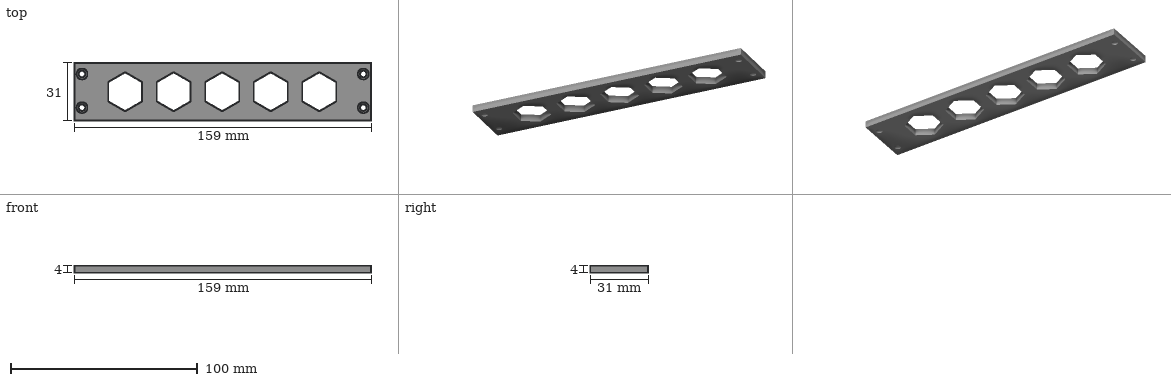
import cadquery as cq
import math

length = 159.0
width = 31.0
thickness = 4.0

hexagon_count = 5
hexagon_pitch = 26.0
hexagon_across_flats = 18.0
hexagon_across_corners = hexagon_across_flats / math.cos(math.radians(30))
hexagon_corner_angle = 90.0
hexagon_row_offset_x = -0.25

screw_spacing_x = 150.7
screw_spacing_y = 18.0
screw_offset_y = 0.5
screw_diameter = 3.4
countersink_diameter = 5.9
countersink_angle = 90.0


def make_plate():
    return cq.Workplane("XY").box(length, width, thickness, centered=(True, True, False))


def cut_hexagons(plate):
    """Cut the row of hexagonal windows through the plate."""
    row_start_x = hexagon_row_offset_x - hexagon_pitch * (hexagon_count - 1) / 2
    hexagon = (
        cq.Workplane("XY")
        .polygon(6, hexagon_across_corners)
        .extrude(thickness)
        .rotate((0, 0, 0), (0, 0, 1), hexagon_corner_angle)
    )
    for index in range(hexagon_count):
        plate = plate.cut(hexagon.translate((row_start_x + index * hexagon_pitch, 0, 0)))
    return plate


def cut_screw_holes(plate):
    """Drill the four screw holes, countersunk from the top face."""
    return (
        plate.faces(">Z")
        .workplane(origin=(0, screw_offset_y, thickness))
        .rect(screw_spacing_x, screw_spacing_y, forConstruction=True)
        .vertices()
        .cskHole(screw_diameter, countersink_diameter, countersink_angle)
    )


result = cut_screw_holes(cut_hexagons(make_plate()))